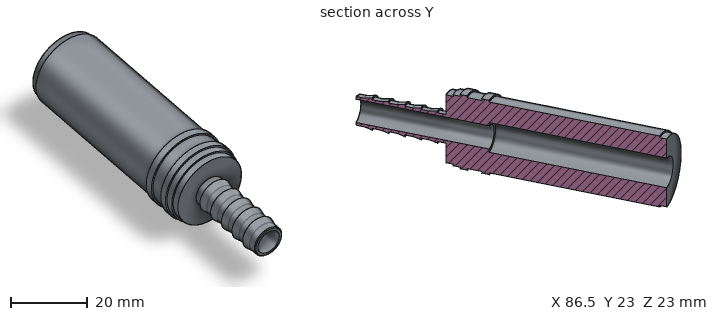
import cadquery as cq

TOTAL_LENGTH = 86.5
TAIL_LENGTH = 25.0
BODY_LENGTH = TOTAL_LENGTH - TAIL_LENGTH

STEP_WIDTH = 2.0
FRONT_RING_WIDTH = 2.2
RING_GAP = 2 * STEP_WIDTH
BARREL_DIAMETER = 22.0
RING_DIAMETER = 23.0
NECK_DIAMETER = 21.0

BARB_COUNT = 5
SEGMENT_LENGTH = TAIL_LENGTH / (2 * BARB_COUNT + 1)
TAIL_DIAMETER = 9.0
BARB_DIAMETER = 10.0
TIP_CHAMFER = 0.3

TAIL_BORE_DIAMETER = 7.0
BARREL_BORE_DIAMETER = 9.0

REAR_NECK_START = BODY_LENGTH - STEP_WIDTH
REAR_RING_START = REAR_NECK_START - 2 * STEP_WIDTH
FRONT_RING_START = REAR_RING_START - RING_GAP - FRONT_RING_WIDTH
BARREL_BORE_DEPTH = FRONT_RING_START


def cylinder(start, end, diameter):
    """Cylinder along the X axis between two positions."""
    return cq.Workplane("YZ", origin=(start, 0, 0)).circle(diameter / 2).extrude(end - start)


def barb(start):
    """Cone that steps up to the barb diameter and tapers back down to the tail."""
    return (
        cq.Workplane("XY")
        .moveTo(start, 0)
        .lineTo(start, BARB_DIAMETER / 2)
        .lineTo(start + SEGMENT_LENGTH, TAIL_DIAMETER / 2)
        .lineTo(start + SEGMENT_LENGTH, 0)
        .close()
        .revolve(360, (0, 0, 0), (1, 0, 0))
    )


def barrel():
    """Barrel with a reduced neck at each end and two raised rings."""
    body = cylinder(0, BODY_LENGTH, NECK_DIAMETER)
    body = body.union(cylinder(STEP_WIDTH, REAR_NECK_START, BARREL_DIAMETER))
    rings = ((FRONT_RING_START, FRONT_RING_WIDTH), (REAR_RING_START, STEP_WIDTH))
    for start, width in rings:
        body = body.union(cylinder(start, start + width, RING_DIAMETER))
    return body


def hose_tail():
    """Tail with a chamfered tip and evenly spaced barbs."""
    tail = cylinder(BODY_LENGTH, TOTAL_LENGTH, TAIL_DIAMETER)
    tail = tail.faces(">X").chamfer(TIP_CHAMFER)
    for index in range(BARB_COUNT):
        tail = tail.union(barb(BODY_LENGTH + (2 * index + 1) * SEGMENT_LENGTH))
    return tail


result = (
    barrel()
    .union(hose_tail())
    .cut(cylinder(0, TOTAL_LENGTH, TAIL_BORE_DIAMETER))
    .cut(cylinder(0, BARREL_BORE_DEPTH, BARREL_BORE_DIAMETER))
)